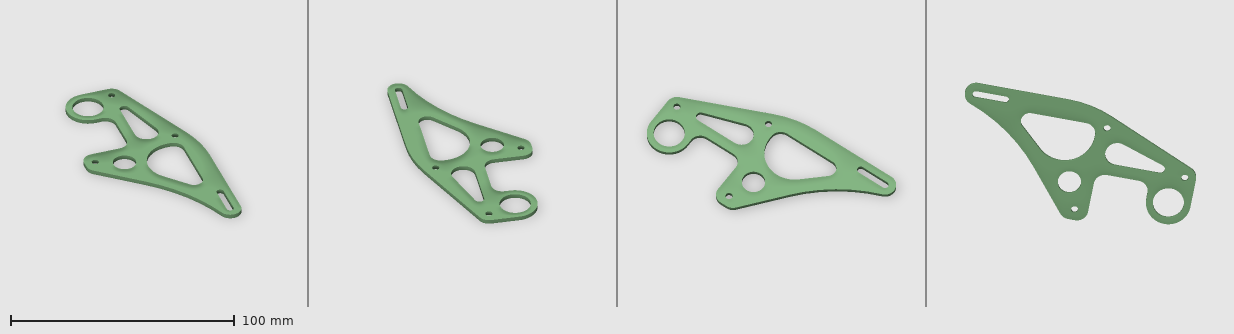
import cadquery as cq
import math

LENGTH = 109.0
WIDTH = 55.0
THICKNESS = 2.0

CORNER_RADIUS = 5.0
BOSS_RADIUS = 10.0
BOSS_Y = 15.8
NOTCH_RIGHT_X = 44.5
NOTCH_TOP_Y = 23.7
FOOT_RIGHT_X = 52.7
LEFT_CORNER_Y = 28.8
BEND_X = 62.7
BEND_RADIUS = 50.0
SWEEP_RADIUS = 80.0
SWEEP_END_ANGLE = -69.2

SMALL_HOLE = 3.2
MIDDLE_HOLE = 10.5
BOSS_HOLE = 14.0
UPPER_HOLE_POSITION = (43.5, 45.2)
FOOT_HOLE_POSITION = (50.6, 4.9)
MIDDLE_HOLE_POSITION = (55.3, 17.1)

SLOT_WIDTH = 3.3
SLOT_SPACING = 13.3

NARROW_BOTTOM_Y = 28.6
NARROW_LEFT_X = 14.5
NARROW_RIGHT_X = 42.2
NARROW_SMALL_RADIUS = 2.2
NARROW_LARGE_RADIUS = 5.5

WIDE_LEFT_X = 48.2
WIDE_RIGHT_X = 82.1
WIDE_TOP_Y = 46.0
WIDE_BOTTOM_Y = 26.2
WIDE_RIGHT_RADIUS = 4.0
WIDE_BOTTOM_RADIUS = 13.5


def rim_point(circle, direction):
    """Point of a (x, y, radius) circle where a counter-clockwise path has this direction."""
    x, y, radius = circle
    return (x + radius * math.sin(direction), y - radius * math.cos(direction))


def tangent_direction(start, end):
    """Direction of the path that leaves one circle and joins the next tangentially."""
    dx = end[0] - start[0]
    dy = end[1] - start[1]
    sine = (start[2] - end[2]) / math.hypot(dx, dy)
    return math.atan2(dy, dx) + math.asin(max(-1.0, min(1.0, sine)))


def belt(circles):
    """Solid bounded by a counter-clockwise belt round circles; a negative radius is concave."""
    count = len(circles)
    directions = [tangent_direction(circles[i], circles[(i + 1) % count]) for i in range(count)]
    position = rim_point(circles[-1], directions[-1])
    path = cq.Workplane("XY").moveTo(*position)
    for i, circle in enumerate(circles):
        arriving = directions[i - 1]
        turn = math.remainder(directions[i] - arriving, 2 * math.pi)
        if circle[2] * turn < 0:
            turn += math.copysign(2 * math.pi, circle[2])
        entry = rim_point(circle, arriving)
        if math.dist(position, entry) > 0.0001:
            path = path.lineTo(*entry)
        middle = rim_point(circle, arriving + turn / 2)
        position = rim_point(circle, arriving + turn)
        path = path.threePointArc(middle, position)
    return path.close().extrude(THICKNESS)


def round_hole(position, diameter):
    return cq.Workplane("XY").center(*position).circle(diameter / 2).extrude(THICKNESS)


nose = (LENGTH - CORNER_RADIUS, WIDTH - CORNER_RADIUS)
left_corner = (CORNER_RADIUS, LEFT_CORNER_Y)
boss = (BOSS_RADIUS, BOSS_Y)

sweep_distance = SWEEP_RADIUS + CORNER_RADIUS
sweep_angle = math.radians(SWEEP_END_ANGLE)
sweep_x = nose[0] + sweep_distance * math.cos(sweep_angle)
sweep_y = nose[1] + sweep_distance * math.sin(sweep_angle)

notch_corner_y = NOTCH_TOP_Y - CORNER_RADIUS
plate = belt([
    (*boss, BOSS_RADIUS),
    (2 * BOSS_RADIUS + CORNER_RADIUS, notch_corner_y, -CORNER_RADIUS),
    (NOTCH_RIGHT_X - CORNER_RADIUS, notch_corner_y, -CORNER_RADIUS),
    (NOTCH_RIGHT_X + CORNER_RADIUS, CORNER_RADIUS, CORNER_RADIUS),
    (FOOT_RIGHT_X, CORNER_RADIUS, CORNER_RADIUS),
    (sweep_x, sweep_y, -SWEEP_RADIUS),
    (*nose, CORNER_RADIUS),
    (BEND_X, WIDTH - BEND_RADIUS, BEND_RADIUS),
    (*left_corner, CORNER_RADIUS),
])

narrow_window = belt([
    (NARROW_LEFT_X + NARROW_SMALL_RADIUS, NARROW_BOTTOM_Y + NARROW_SMALL_RADIUS, NARROW_SMALL_RADIUS),
    (NARROW_RIGHT_X - NARROW_LARGE_RADIUS, NARROW_BOTTOM_Y + NARROW_LARGE_RADIUS, NARROW_LARGE_RADIUS),
])

wide_window = belt([
    (WIDE_LEFT_X + WIDE_BOTTOM_RADIUS, WIDE_BOTTOM_Y + WIDE_BOTTOM_RADIUS, WIDE_BOTTOM_RADIUS),
    (WIDE_RIGHT_X - WIDE_RIGHT_RADIUS, WIDE_TOP_Y - WIDE_RIGHT_RADIUS, WIDE_RIGHT_RADIUS),
    (WIDE_LEFT_X + CORNER_RADIUS, WIDE_TOP_Y - CORNER_RADIUS, CORNER_RADIUS),
])

slot = belt([
    (nose[0] - SLOT_SPACING, nose[1], SLOT_WIDTH / 2),
    (*nose, SLOT_WIDTH / 2),
])

result = plate.cut(narrow_window).cut(wide_window).cut(slot)
for hole_position, hole_diameter in [
    (boss, BOSS_HOLE),
    (MIDDLE_HOLE_POSITION, MIDDLE_HOLE),
    (left_corner, SMALL_HOLE),
    (UPPER_HOLE_POSITION, SMALL_HOLE),
    (FOOT_HOLE_POSITION, SMALL_HOLE),
]:
    result = result.cut(round_hole(hole_position, hole_diameter))